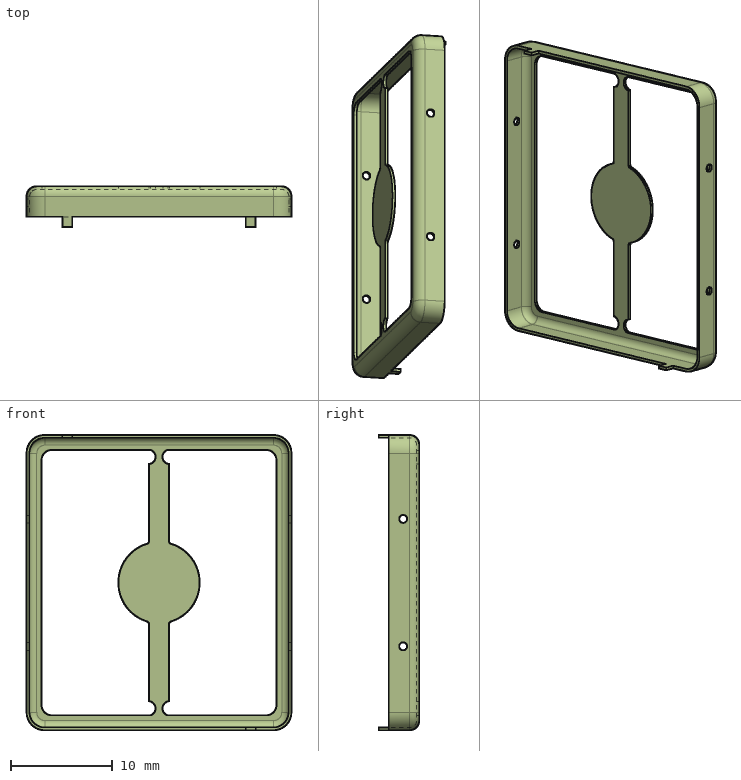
import cadquery as cq
import math

HEIGHT = 29.0
WIDTH = 26.0
TOTAL_DEPTH = 4.0
TAB_LENGTH = 1.0
WALL = 0.3
CORNER_RADIUS = 1.8
RIM_RADIUS = 1.0

WINDOW_WIDTH = 23.03
WINDOW_HEIGHT = 26.0
WINDOW_RADIUS = 1.0

DISC_RADIUS = 4.0
STRIP_WIDTH = 2.0
JOINT_FILLET = 0.2
NECK_WIDTH = 0.7
NOTCH_RADIUS = 0.7
NOTCH_INSET = 0.67

HOLE_DIAMETER = 0.75
HOLE_SPACING = 12.5
HOLE_FROM_BACK = 1.6
TAB_WIDTH = 1.0
TAB_OFFSET = 9.0

BACK_Y = TOTAL_DEPTH - TAB_LENGTH
PLATE_Y = BACK_Y - WALL


def block(width, height, front, back):
    """Box centred on X and Z, running from front to back in Y."""
    return cq.Workplane("XY").box(width, back - front, height).translate((0, (front + back) / 2, 0))


def rounded_block(width, height, front, back, radius):
    return block(width, height, front, back).edges("|Y").fillet(radius)


def make_frame():
    """Thin tray with a rounded back rim and a window in its back plate."""
    outer = rounded_block(WIDTH, HEIGHT, 0, BACK_Y, CORNER_RADIUS)
    outer = outer.faces(">Y").edges().fillet(RIM_RADIUS)
    cavity = rounded_block(WIDTH - 2 * WALL, HEIGHT - 2 * WALL, 0, PLATE_Y, CORNER_RADIUS - WALL)
    cavity = cavity.faces(">Y").edges().fillet(RIM_RADIUS - WALL)
    window = rounded_block(WINDOW_WIDTH, WINDOW_HEIGHT, 0, BACK_Y, WINDOW_RADIUS)
    return outer.cut(cavity).cut(window)


def plate_cylinder(x, z, radius):
    """Disc of plate thickness, with its axis along Y."""
    return cq.Workplane("XZ", origin=(x, BACK_Y, z)).circle(radius).extrude(WALL)


def make_web():
    """Central disc on a vertical strip that narrows to a neck at each end."""
    disc = plate_cylinder(0, 0, DISC_RADIUS)
    web = block(STRIP_WIDTH, WINDOW_HEIGHT, PLATE_Y, BACK_Y).union(disc)
    joint_region = cq.selectors.BoxSelector(
        (-STRIP_WIDTH, PLATE_Y - WALL, -DISC_RADIUS),
        (STRIP_WIDTH, BACK_Y + WALL, DISC_RADIUS),
    )
    web = web.edges("|Y").edges(joint_region).fillet(JOINT_FILLET)
    notch_x = NECK_WIDTH / 2 + NOTCH_RADIUS
    notch_z = WINDOW_HEIGHT / 2 - NOTCH_INSET
    for x in (-notch_x, notch_x):
        for z in (-notch_z, notch_z):
            web = web.cut(plate_cylinder(x, z, NOTCH_RADIUS))
    root_width = 2 * (notch_x - math.sqrt(NOTCH_RADIUS**2 - NOTCH_INSET**2))
    for x in (-1, 1):
        for z in (-1, 1):
            corner = block(STRIP_WIDTH, NOTCH_INSET, PLATE_Y, BACK_Y)
            corner_x = x * (root_width + STRIP_WIDTH) / 2
            corner_z = z * (WINDOW_HEIGHT - NOTCH_INSET) / 2
            web = web.cut(corner.translate((corner_x, 0, corner_z)))
    return web


def make_holes():
    """Two holes through each side wall."""
    return (
        cq.Workplane("YZ", origin=(0, BACK_Y - HOLE_FROM_BACK, 0))
        .rarray(0.3, HOLE_SPACING, 1, 2)
        .circle(HOLE_DIAMETER / 2)
        .extrude(WIDTH, both=True)
    )


def make_tab(side):
    """Tab projecting forward; side +1 is top left and -1 is bottom right."""
    tab = block(TAB_WIDTH, WALL, -TAB_LENGTH, WALL)
    return tab.translate((-side * TAB_OFFSET, 0, side * (HEIGHT - WALL) / 2))


result = make_frame().union(make_web()).cut(make_holes())
for side in (-1, 1):
    result = result.union(make_tab(side))